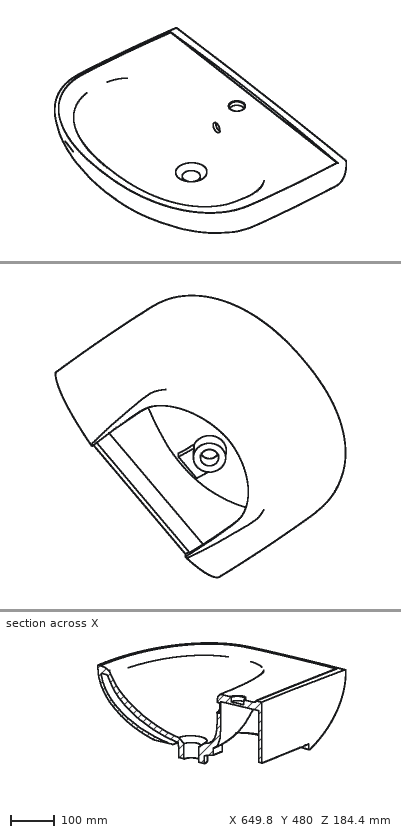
import cadquery as cq
import math


HALF_WIDTH = 649.77 / 2
DEPTH = 479.99
TOTAL_HEIGHT = 184.37
LEDGE_RISE = 3.8
PIPE_BOTTOM_Z = LEDGE_RISE - TOTAL_HEIGHT

BACK_NARROWING = 3.5
WIDEST_SHARE = 0.6
FRONT_START_RATIO = 0.5625
FRONT_EXPONENT = 2.2
BOTTOM_FRONT_EXPONENT = 1.75
FRONT_POINTS = 17
SIDE_POINTS = 5

RIM_HEIGHT = 8.0
RIM_ROUNDING = 4.0
ROUNDING_SECTIONS = 4
RIM_BEAD_WIDTH = 8.0
DECK_DROP = 1.0
DECK_THICKNESS = 20.0

SIDE_REACH = 271.0
SIDE_DROP = 175.0
FRONT_REACH = 267.0
FRONT_DROP = 156.0
SKIN_WALL = 10.0
OPENING_WALL = 9.5
OPENING_OVERLAP = 6.0
SKIN_BOTTOM_Z = -160.5
HOLLOW_BOTTOM_Z = -152.0
SKIN_SECTIONS = 7

FOOT_BACK_Z = -160.0
FOOT_BEND_Y = -190.0
FOOT_FRONT_Z = -152.0

LEDGE_DEPTH = 21.0
LEDGE_SLOPE_RUN = 4.0

BOWL_WALL = 12.0
ROLL_DEPTH = 15.0
ROLL_SECTIONS = 5
THROAT_Z = -DECK_DROP - ROLL_DEPTH
BELLY_Z = -80.0
HOLLOW_Z = -117.0
BOWL_FLOOR_Z = -132.0
FLOOR_RADIUS = 30.0
OVAL_POINTS = 32

MOUTH = (303.0, -117.5, -470.0)
THROAT = (273.0, -131.0, -442.0)
BELLY = (211.0, -132.0, -378.0)
HOLLOW = (125.0, -142.0, -300.0)

MOUTH_SHAPE = (0.43, 2.75, 2.25)
BELLY_SHAPE = (0.44, 2.2, 2.0)
HOLLOW_SHAPE = (0.4, 2.0, 2.0)
FLOOR_SHAPE = (0.5, 2.0, 2.0)

DRAIN_Y = -206.0
DRAIN_RADIUS = 21.0
DRAIN_SEAT_RADIUS = 38.0
DRAIN_SEAT_HEIGHT = 13.0
DRAIN_SEAT_BOTTOM_Z = -143.0
PIPE_TOP_RADIUS = 39.5
PIPE_BOTTOM_RADIUS = 37.5
TAP_Y = -71.5
TAP_RADIUS = 18.0
TAP_CHAMFER = 1.5
TAP_HOLE_DEPTH = 12.0
OVERFLOW_Z = -36.0
OVERFLOW_RADIUS = 12.5
OVERFLOW_FLOOR_Y = -124.0
RIB_WIDTH = 70.0
RIB_TOP_Z = -120.0
RIB_BACK = (-142.0, -154.5)
RIB_BEND = (-165.0, -160.5)
RIB_FRONT = (-186.0, -165.0)


def superellipse_point(angle, half_x, half_y, exponent):
    """Point of a superellipse centred on the origin."""
    cosine = math.cos(angle)
    sine = math.sin(angle)
    power = 2 / exponent
    x = math.copysign(half_x * abs(cosine) ** power, cosine)
    y = math.copysign(half_y * abs(sine) ** power, sine)
    return x, y


def basin_outline(half_width, depth, z, back_y=0.0, exponent=FRONT_EXPONENT):
    """Closed D-shaped wire: straight back edge, full sides and a rounded front."""
    front_start = -FRONT_START_RATIO * depth
    right_side = []
    for i in range(SIDE_POINTS):
        share = i / SIDE_POINTS
        x = half_width - BACK_NARROWING * (1 - share / WIDEST_SHARE) ** 2
        y = back_y + (front_start - back_y) * share
        right_side.append(cq.Vector(x, y, z))
    front_half_width = half_width - BACK_NARROWING * (1 - 1 / WIDEST_SHARE) ** 2
    front = []
    for i in range(FRONT_POINTS):
        angle = -math.pi * i / (FRONT_POINTS - 1)
        x, y = superellipse_point(angle, front_half_width, depth + front_start, exponent)
        front.append(cq.Vector(x, y + front_start, z))
    left_side = [cq.Vector(-p.x, p.y, p.z) for p in reversed(right_side)]
    curve = cq.Edge.makeSpline(right_side + front + left_side)
    back = cq.Edge.makeLine(left_side[-1], right_side[0])
    return cq.Wire.assembleEdges([curve, back])


def skin_outline(z, wall, back_y):
    """Outline of the outer skin at height z, moved inward by the wall thickness."""
    fall = -RIM_HEIGHT - z
    side_share = math.sqrt(1 - (fall / (SIDE_DROP - wall)) ** 2)
    front_share = math.sqrt(1 - (fall / (FRONT_DROP - wall)) ** 2)
    half_width = HALF_WIDTH - SIDE_REACH + (SIDE_REACH - wall) * side_share
    depth = DEPTH - FRONT_REACH + (FRONT_REACH - wall) * front_share
    exponent = FRONT_EXPONENT + (BOTTOM_FRONT_EXPONENT - FRONT_EXPONENT) * fall / SIDE_DROP
    return basin_outline(half_width, depth, z, back_y, exponent)


def skin_loft(top_z, bottom_z, wall, back_y):
    """Solid under the skin profile, with sections crowding toward the flat bottom."""
    sections = []
    for i in range(SKIN_SECTIONS):
        share = math.sin(math.pi / 2 * i / (SKIN_SECTIONS - 1))
        z = top_z + (bottom_z - top_z) * share
        sections.append(skin_outline(z, wall, back_y))
    return cq.Workplane(cq.Solid.makeLoft(sections))


def make_outer_body():
    """Outer skin with the rim band and its rounded upper edge."""
    skin = skin_loft(-RIM_HEIGHT, SKIN_BOTTOM_Z, 0.0, 0.0)
    band_face = cq.Face.makeFromWires(basin_outline(HALF_WIDTH, DEPTH, -RIM_HEIGHT))
    band = cq.Solid.extrudeLinear(band_face, cq.Vector(0, 0, RIM_HEIGHT - RIM_ROUNDING))
    sections = []
    for i in range(ROUNDING_SECTIONS):
        angle = math.pi / 2 * i / (ROUNDING_SECTIONS - 1)
        inset = RIM_ROUNDING * (1 - math.cos(angle))
        z = RIM_ROUNDING * (math.sin(angle) - 1)
        sections.append(basin_outline(HALF_WIDTH - inset, DEPTH - inset, z))
    rounding = cq.Solid.makeLoft(sections)
    return skin.union(cq.Workplane(band)).union(cq.Workplane(rounding))


def make_underside_hollow():
    """Hollow inside the skin, and its bottom opening with a notch through the back wall."""
    hollow = skin_loft(-DECK_THICKNESS, HOLLOW_BOTTOM_Z, SKIN_WALL, -SKIN_WALL)
    outline = skin_outline(HOLLOW_BOTTOM_Z, OPENING_WALL, SKIN_WALL)
    outline = outline.translate(cq.Vector(0, 0, OPENING_OVERLAP))
    drop = PIPE_BOTTOM_Z - HOLLOW_BOTTOM_Z
    opening = cq.Solid.extrudeLinear(cq.Face.makeFromWires(outline), cq.Vector(0, 0, drop))
    return hollow, cq.Workplane(opening)


def make_foot_trim():
    """Everything below the lower edge of the skin."""
    return (
        cq.Workplane("YZ")
        .moveTo(0, FOOT_BACK_Z)
        .lineTo(FOOT_BEND_Y, FOOT_FRONT_Z)
        .lineTo(-DEPTH, FOOT_FRONT_Z)
        .lineTo(-DEPTH, PIPE_BOTTOM_Z)
        .lineTo(0, PIPE_BOTTOM_Z)
        .close()
        .extrude(HALF_WIDTH, both=True)
    )


def make_back_ledge():
    """Crowned strip along the mounting wall with a sloping front."""
    half_length = HALF_WIDTH - BACK_NARROWING - RIM_ROUNDING
    crown = (
        cq.Workplane("XZ")
        .moveTo(-half_length, -RIM_HEIGHT / 2)
        .lineTo(-half_length, 0)
        .threePointArc((0, LEDGE_RISE), (half_length, 0))
        .lineTo(half_length, -RIM_HEIGHT / 2)
        .close()
        .extrude(LEDGE_DEPTH)
    )
    profile = (
        cq.Workplane("YZ")
        .moveTo(0, -RIM_HEIGHT / 2)
        .lineTo(0, LEDGE_RISE)
        .lineTo(LEDGE_SLOPE_RUN - LEDGE_DEPTH, LEDGE_RISE)
        .lineTo(-LEDGE_DEPTH, 0)
        .lineTo(-LEDGE_DEPTH, -RIM_HEIGHT / 2)
        .close()
        .extrude(HALF_WIDTH, both=True)
    )
    return crown.intersect(profile)


def make_deck_recess():
    """Shallow recess that leaves the bead around the rim."""
    outline = basin_outline(HALF_WIDTH - RIM_BEAD_WIDTH, DEPTH - RIM_BEAD_WIDTH, -DECK_DROP, -LEDGE_DEPTH)
    face = cq.Face.makeFromWires(outline)
    return cq.Workplane(cq.Solid.extrudeLinear(face, cq.Vector(0, 0, RIM_HEIGHT)))


def bowl_outline(size, shape, z, wall=0.0):
    """Closed oval wire of a bowl section, grown outward by the wall thickness."""
    half_width, back_y, front_y = size
    wide_share, back_exponent, front_exponent = shape
    wide_y = back_y + wide_share * (front_y - back_y)
    points = []
    for i in range(OVAL_POINTS):
        angle = 2 * math.pi * i / OVAL_POINTS
        if angle < math.pi:
            half_length = back_y - wide_y + wall
            exponent = back_exponent
        else:
            half_length = wide_y - front_y + wall
            exponent = front_exponent
        x, y = superellipse_point(angle, half_width + wall, half_length, exponent)
        points.append(cq.Vector(x, wide_y + y, z))
    return cq.Wire.assembleEdges([cq.Edge.makeSpline(points, periodic=True)])


def make_rolled_edge():
    """Rounded transition from the deck into the bowl."""
    sections = []
    for i in range(ROLL_SECTIONS):
        angle = math.pi / 2 * i / (ROLL_SECTIONS - 1)
        inward = math.sin(angle)
        z = -DECK_DROP - ROLL_DEPTH * (1 - math.cos(angle))
        size = [mouth + (throat - mouth) * inward for mouth, throat in zip(MOUTH, THROAT)]
        sections.append(bowl_outline(size, MOUTH_SHAPE, z))
    return cq.Workplane(cq.Solid.makeLoft(sections))


def make_bowl(wall):
    """Bowl below the rolled edge, grown outward and downward by the wall thickness."""
    floor = (FLOOR_RADIUS, DRAIN_Y + FLOOR_RADIUS, DRAIN_Y - FLOOR_RADIUS)
    sections = [
        bowl_outline(THROAT, MOUTH_SHAPE, THROAT_Z, wall),
        bowl_outline(BELLY, BELLY_SHAPE, BELLY_Z - wall, wall),
        bowl_outline(HOLLOW, HOLLOW_SHAPE, HOLLOW_Z - wall, wall),
        bowl_outline(floor, FLOOR_SHAPE, BOWL_FLOOR_Z - wall, wall),
    ]
    return cq.Workplane(cq.Solid.makeLoft(sections))


def make_drain_pipe():
    """Slightly tapered outlet below the bowl."""
    height = BOWL_FLOOR_Z - PIPE_BOTTOM_Z
    return cq.Workplane(
        cq.Solid.makeCone(PIPE_BOTTOM_RADIUS, PIPE_TOP_RADIUS, height, cq.Vector(0, DRAIN_Y, PIPE_BOTTOM_Z))
    )


def make_overflow_rib():
    """Rib between the back of the bowl and the outlet."""
    return (
        cq.Workplane("YZ")
        .moveTo(RIB_BACK[0], RIB_TOP_Z)
        .lineTo(*RIB_BACK)
        .lineTo(*RIB_BEND)
        .lineTo(*RIB_FRONT)
        .lineTo(RIB_FRONT[0], RIB_TOP_Z)
        .close()
        .extrude(RIB_WIDTH / 2, both=True)
    )


def make_drain_hole():
    """Conical seat and through bore of the outlet."""
    seat_bottom = cq.Vector(0, DRAIN_Y, DRAIN_SEAT_BOTTOM_Z)
    seat = cq.Solid.makeCone(DRAIN_RADIUS, DRAIN_SEAT_RADIUS, DRAIN_SEAT_HEIGHT, seat_bottom)
    bore = cq.Solid.makeCylinder(
        DRAIN_RADIUS, BOWL_FLOOR_Z - PIPE_BOTTOM_Z, cq.Vector(0, DRAIN_Y, PIPE_BOTTOM_Z)
    )
    return cq.Workplane(seat).union(cq.Workplane(bore))


def make_tap_hole():
    """Blind tap hole in the deck with a chamfered edge."""
    floor = cq.Vector(0, TAP_Y, -DECK_DROP - TAP_HOLE_DEPTH)
    hole = cq.Solid.makeCylinder(TAP_RADIUS, TAP_HOLE_DEPTH, floor)
    chamfer_bottom = cq.Vector(0, TAP_Y, -DECK_DROP - TAP_CHAMFER)
    chamfer = cq.Solid.makeCone(TAP_RADIUS, TAP_RADIUS + TAP_CHAMFER, TAP_CHAMFER, chamfer_bottom)
    return cq.Workplane(hole).union(cq.Workplane(chamfer))


def make_overflow_hole():
    """Blind overflow recess in the back of the bowl."""
    start = cq.Vector(0, OVERFLOW_FLOOR_Y, OVERFLOW_Z)
    return cq.Workplane(
        cq.Solid.makeCylinder(OVERFLOW_RADIUS, OVERFLOW_FLOOR_Y - DRAIN_Y, start, cq.Vector(0, -1, 0))
    )


hollow, opening = make_underside_hollow()
shell = make_outer_body().cut(make_deck_recess()).cut(make_foot_trim()).cut(hollow).cut(opening)
shell = shell.union(make_back_ledge())
bowl_shell = make_bowl(BOWL_WALL).union(make_drain_pipe()).union(make_overflow_rib())
shell = shell.union(bowl_shell)
shell = shell.cut(make_rolled_edge()).cut(make_bowl(0.0))
basin = shell.cut(make_drain_hole()).cut(make_tap_hole()).cut(make_overflow_hole())
result = cq.Workplane(basin.solids().val())